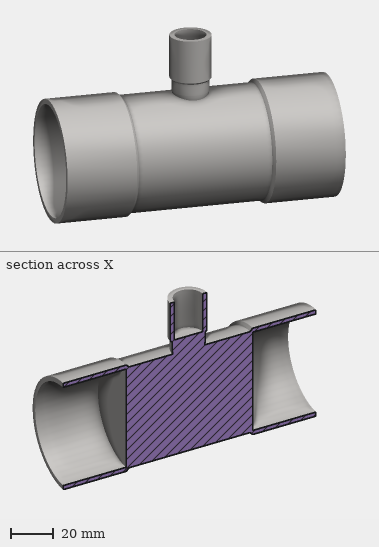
import cadquery as cq

run_length = 136.0
run_radius = 56.0 / 2
run_socket_radius = 59.0 / 2
run_bore_radius = 54.0 / 2
run_socket_length = 34.0
run_bevel_length = run_socket_radius - run_radius
run_bore_depth = 33.75

branch_offset_y = 0.5
branch_top = 56.5
branch_socket_radius = 20.0 / 2
branch_bore_radius = 15.0 / 2
branch_neck_radius = 18.0 / 2
branch_root_radius = 17.5 / 2
branch_root_top = 29.0
branch_socket_length = 20.9
branch_bevel_length = branch_socket_radius - branch_neck_radius
branch_bore_depth = branch_socket_length


def make_run():
    """Revolve the run's half section (X is radius) about the Y axis."""
    end = run_length / 2
    bore_floor = end - run_bore_depth
    bevel_outer = end - run_socket_length
    bevel_inner = bevel_outer - run_bevel_length
    return (
        cq.Workplane("XY")
        .moveTo(0, -bore_floor)
        .lineTo(run_bore_radius, -bore_floor)
        .lineTo(run_bore_radius, -end)
        .lineTo(run_socket_radius, -end)
        .lineTo(run_socket_radius, -bevel_outer)
        .lineTo(run_radius, -bevel_inner)
        .lineTo(run_radius, bevel_inner)
        .lineTo(run_socket_radius, bevel_outer)
        .lineTo(run_socket_radius, end)
        .lineTo(run_bore_radius, end)
        .lineTo(run_bore_radius, bore_floor)
        .lineTo(0, bore_floor)
        .close()
        .revolve(360, (0, 0, 0), (0, 1, 0))
    )


def make_branch():
    """Revolve the branch's section about its own Z axis, starting inside the run."""
    bore_floor = branch_top - branch_bore_depth
    bevel_top = branch_top - branch_socket_length
    bevel_bottom = bevel_top - branch_bevel_length
    return (
        cq.Workplane("XZ", origin=(0, branch_offset_y, 0))
        .lineTo(branch_root_radius, 0)
        .lineTo(branch_root_radius, branch_root_top)
        .lineTo(branch_neck_radius, branch_root_top)
        .lineTo(branch_neck_radius, bevel_bottom)
        .lineTo(branch_socket_radius, bevel_top)
        .lineTo(branch_socket_radius, branch_top)
        .lineTo(branch_bore_radius, branch_top)
        .lineTo(branch_bore_radius, bore_floor)
        .lineTo(0, bore_floor)
        .close()
        .revolve(360, (0, 0, 0), (0, 1, 0))
    )


result = make_run().union(make_branch())